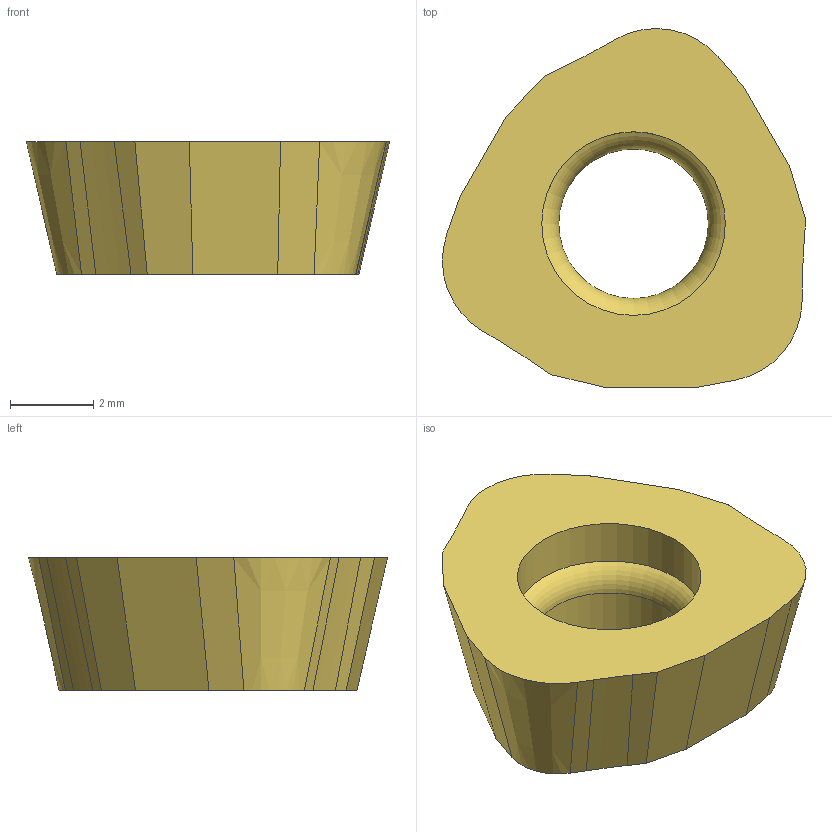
import cadquery as cq
import math

thickness = 3.18
clearance_angle = 13.0
lobe_count = 3
lobe_angle = 360.0 / lobe_count

flank_distance = 3.945
flank_start_x = -0.68
nose_radius = 1.96
nose_center = (2.095, -1.841)
lead_in_heading = 10.7
lead_out_heading = 89.0
lead_out_length = 0.40
relief_chord = 0.97
tail_heading = 86.2
tail_length = 0.60

head_bore_radius = 2.21
head_bore_depth = 1.10
shank_bore_radius = 1.80
seat_height = 0.65


def step(point, heading, length):
    """Point reached by moving from a point along a heading."""
    angle = math.radians(heading)
    return (point[0] + length * math.cos(angle), point[1] + length * math.sin(angle))


def turned(point, degrees):
    """Point rotated about the hole axis."""
    angle = math.radians(degrees)
    x, y = point
    return (x * math.cos(angle) - y * math.sin(angle), x * math.sin(angle) + y * math.cos(angle))


def nose_point(heading):
    """Point of the nose arc where the outline has the given heading."""
    return step(nose_center, heading - 90.0, nose_radius)


def add_lobe(outline, turn):
    """Append one lobe, from the start of its flank to the end of its tail facet."""
    nose_start = nose_point(lead_in_heading)
    nose_middle = nose_point((lead_in_heading + lead_out_heading) / 2)
    nose_end = nose_point(lead_out_heading)
    lead_in_rise = nose_start[1] + flank_distance
    flank_end_x = nose_start[0] - lead_in_rise / math.tan(math.radians(lead_in_heading))

    relief_start = step(nose_end, lead_out_heading, lead_out_length)
    relief_heading = (lead_out_heading + tail_heading) / 2
    relief_end = step(relief_start, relief_heading, relief_chord)
    half_bend = math.radians(lead_out_heading - tail_heading) / 2
    relief_sag = relief_chord / 2 * math.tan(half_bend / 2)
    chord_middle = step(relief_start, relief_heading, relief_chord / 2)
    relief_middle = step(chord_middle, relief_heading + 90.0, relief_sag)
    tail_end = step(relief_end, tail_heading, tail_length)

    return (
        outline
        .lineTo(*turned((flank_end_x, -flank_distance), turn))
        .lineTo(*turned(nose_start, turn))
        .threePointArc(turned(nose_middle, turn), turned(nose_end, turn))
        .lineTo(*turned(relief_start, turn))
        .threePointArc(turned(relief_middle, turn), turned(relief_end, turn))
        .lineTo(*turned(tail_end, turn))
    )


def make_body():
    """Lobed body, narrowing downward from the top face at the clearance angle."""
    flank_start = (flank_start_x, -flank_distance)
    outline = cq.Workplane("XY", origin=(0, 0, thickness)).moveTo(*flank_start)
    for index in range(lobe_count):
        if index > 0:
            outline = outline.lineTo(*turned(flank_start, index * lobe_angle))
        outline = add_lobe(outline, index * lobe_angle)
    return outline.close().extrude(-thickness, taper=clearance_angle)


def make_hole():
    """Revolved cutter: head bore, convex seat tangent to the shank bore, shank bore."""
    seat_top = thickness - head_bore_depth
    seat_bottom = seat_top - seat_height
    seat_width = head_bore_radius - shank_bore_radius
    seat_radius = (seat_height**2 + seat_width**2) / (2 * seat_width)
    half_sweep = math.asin(seat_height / seat_radius) / 2
    seat_middle = (
        shank_bore_radius + seat_radius * (1 - math.cos(half_sweep)),
        seat_bottom + seat_radius * math.sin(half_sweep),
    )
    return (
        cq.Workplane("XZ")
        .lineTo(shank_bore_radius, 0)
        .lineTo(shank_bore_radius, seat_bottom)
        .threePointArc(seat_middle, (head_bore_radius, seat_top))
        .lineTo(head_bore_radius, thickness)
        .lineTo(0, thickness)
        .close()
        .revolve(360, (0, 0), (0, 1))
    )


result = make_body().cut(make_hole())